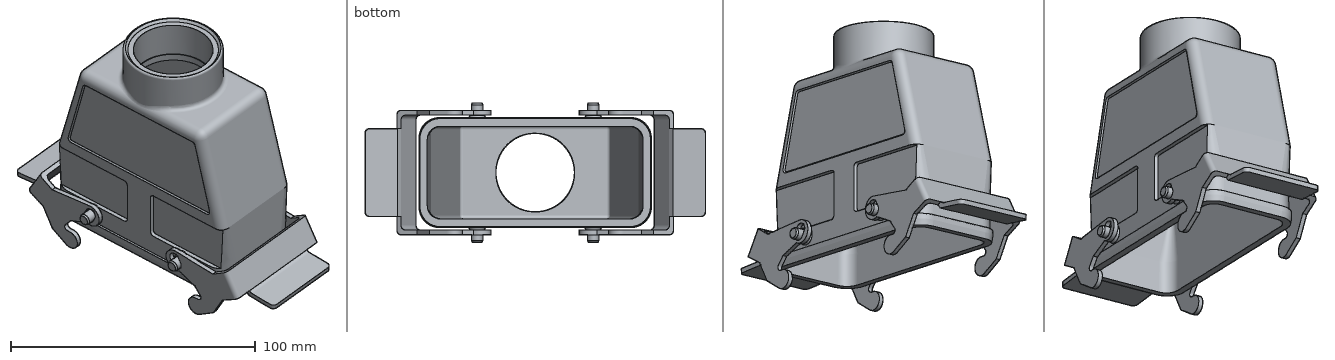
import cadquery as cq
import math

hood_width = 43.0
roof_z = 78.3
break_z = 34.4
roof_half_length = 33.0
break_half_length = 45.0
flare_half_length = 46.4
base_half_length = 46.7
edge_radius = 4.0
base_corner_radius = 8.0
wall = 2.6

rim_length = 95.0
rim_width = 45.0
rim_corner_radius = 8.5
rim_top_z = 4.8
rim_taper_height = 2.5
rim_taper = 0.45

neck_top_z = 94.5
neck_radius = 41.0 / 2
neck_root_fillet = 2.0
lip_size = 1.0
sleeve_seat_z = 78.7
sleeve_radius = 37.0 / 2
sleeve_bore_radius = 32.5 / 2
roof_hole_radius = 32.0 / 2

upper_panel_depth = 0.6
upper_panel_top_z = 73.1
upper_panel_bottom_z = 39.6
upper_panel_top_half = 29.9
upper_panel_bottom_half = 38.6
lower_panel_depth = 1.4
lower_panel_bottom_z = 13.5
lower_panel_inner_x = 6.25
upper_panel_draft = 45.0
lower_panel_draft = 18.0
panel_corner_radius = 1.7

pin_x = 23.7
pin_z = 9.9
pin_radius = 4.8 / 2
pin_tip_radius = 4.0 / 2
pin_tip_length = 0.8
pin_end_y = 57.0 / 2
boss_radius = 7.6 / 2
boss_end_radius = 6.0 / 2
boss_end_y = 23.4

sheet = 2.0
lever_half_width = 25.45
bend_radius = 2.0
inner_bend_radius = 2.0
bar_angle = 60.0
bar_length = 12.3
bar_top = (-50.4, 18.2)
eye_center = (-22.9, 11.0)
eye_radius = 4.9
slot_radius = 2.5
slot_end = (-22.6, 11.9)
eye_entry_angle = 100.0
eye_exit_angle = 243.0
hook_center = (-33.75, -6.99)
hook_radius = 4.0
hook_back_angle = 32.0
notch_corner = (-38.2, -2.99)
notch_radius = 1.5
arm_top_bend = (-43.3, 14.0)
arm_bottom_bend = (-33.5, 2.9)
arm_heel = (-43.2, -5.95)
arm_back_bend = (-48.2, 3.0)
grip_width = 36.0
grip_tip_x = -69.5
grip_tip_z = 4.9
grip_angle = 4.5
grip_length = 13.3
grip_flat_length = 11.4
grip_corner_radius = 2.0
right_lever_tilt = 0.8


def rounded_block(sections):
    """Loft through (z, length, width, corner radius) rounded rectangles."""
    wires = []
    for z, length, width, radius in sections:
        outline = cq.Sketch().rect(length, width).vertices().fillet(radius)
        wires.append(outline.moved(cq.Location(cq.Vector(0, 0, z))))
    return cq.Workplane("XY").placeSketch(*wires).loft(ruled=True)


def slab(points, y_from, y_to):
    """Extrude a closed X-Z outline between two Y positions."""
    return cq.Workplane("XZ", origin=(0, y_from, 0)).polyline(points).close().extrude(y_from - y_to)


def upper_body(inset):
    """Sloped upper part, shrunk by inset on every outer face."""
    base = break_half_length - inset
    top = roof_half_length - inset
    half_width = hood_width / 2 - inset
    outline = [(-base, break_z), (base, break_z), (top, roof_z - inset), (-top, roof_z - inset)]
    block = slab(outline, -half_width, half_width)
    radius = edge_radius - inset
    return block.faces("not <Z").edges("not <Z").fillet(radius)


def lower_body(inset):
    """Flared lower part; its corners open out from the break down to the panel bottom."""
    width = hood_width - 2 * inset
    return rounded_block([
        (0, 2 * (base_half_length - inset), width, base_corner_radius - inset),
        (lower_panel_bottom_z, 2 * (flare_half_length - inset), width, base_corner_radius - inset),
        (break_z, 2 * (break_half_length - inset), width, edge_radius - inset),
    ])


def rim():
    taper = 2 * rim_taper
    lower = rounded_block([
        (0, rim_length - taper, rim_width - taper, rim_corner_radius - rim_taper),
        (rim_taper_height, rim_length, rim_width, rim_corner_radius),
    ])
    upper = rounded_block([
        (rim_taper_height, rim_length, rim_width, rim_corner_radius),
        (rim_top_z, rim_length, rim_width, rim_corner_radius),
    ])
    return lower.union(upper)


def on_neck_root(edge):
    """True for the edges where the neck meets the roof."""
    ends_on_neck = all(abs(math.hypot(v.X, v.Y) - neck_radius) < 1e-3 for v in edge.Vertices())
    return ends_on_neck and edge.BoundingBox().zmax < roof_z + lip_size and edge.Center().z > break_z


def neck_and_roof():
    neck_base_z = roof_z - edge_radius
    neck = cq.Workplane("XY", origin=(0, 0, neck_base_z)).circle(neck_radius).extrude(neck_top_z - neck_base_z)
    neck = neck.faces(">Z").edges().fillet(lip_size)
    body = upper_body(0).union(neck)
    return body.edges().filter(on_neck_root).fillet(neck_root_fillet)


def neck_bore():
    """Chamfered bore for the sleeve, with a narrower hole through the roof below it."""
    lip_z = neck_top_z - lip_size
    profile = [
        (0, roof_z - 2 * wall),
        (roof_hole_radius, roof_z - 2 * wall),
        (roof_hole_radius, sleeve_seat_z),
        (sleeve_radius, sleeve_seat_z),
        (sleeve_radius, lip_z),
        (sleeve_radius + lip_size, neck_top_z),
        (0, neck_top_z),
    ]
    return cq.Workplane("XZ").polyline(profile).close().revolve(360, (0, 0, 0), (0, 1, 0))


def panel_cutter(points, depth, draft, side):
    """Recess with rounded corners and drafted walls, sunk into the front or back face."""
    outline = cq.Sketch().polygon(points + points[:1]).vertices().fillet(panel_corner_radius)
    front = cq.Workplane("XZ", origin=(0, -hood_width / 2, 0)).placeSketch(outline).extrude(-depth, taper=draft)
    return front if side < 0 else front.mirror("XZ")


def upper_panel(side):
    outline = [
        (-upper_panel_bottom_half, upper_panel_bottom_z),
        (upper_panel_bottom_half, upper_panel_bottom_z),
        (upper_panel_top_half, upper_panel_top_z),
        (-upper_panel_top_half, upper_panel_top_z),
    ]
    return panel_cutter(outline, upper_panel_depth, upper_panel_draft, side)


def lower_panel(end, side):
    """Recess that runs from near the middle out through the end wall."""
    inner_x = end * lower_panel_inner_x
    outer_x = end * rim_length
    outline = [
        (inner_x, lower_panel_bottom_z),
        (outer_x, lower_panel_bottom_z),
        (outer_x, break_z),
        (inner_x, break_z),
    ]
    return panel_cutter(outline, lower_panel_depth, lower_panel_draft, side)


def pivot_pin(end, side):
    root_y = hood_width / 2 - wall / 2
    profile = [
        (0, root_y),
        (boss_radius, root_y),
        (boss_radius, hood_width / 2),
        (boss_end_radius, boss_end_y),
        (pin_radius, boss_end_y),
        (pin_radius, pin_end_y - pin_tip_length),
        (pin_tip_radius, pin_end_y),
        (0, pin_end_y),
    ]
    pin = cq.Workplane("XY").polyline(profile).close().revolve(360, (0, 0, 0), (0, 1, 0))
    if side < 0:
        pin = pin.mirror("XZ")
    return pin.translate((end * pin_x, 0, pin_z))


def make_hood():
    hood = neck_and_roof().union(lower_body(0)).union(rim())
    hood = hood.cut(upper_body(wall)).cut(lower_body(wall)).cut(neck_bore())
    for side in (-1, 1):
        hood = hood.cut(upper_panel(side))
        for end in (-1, 1):
            hood = hood.cut(lower_panel(end, side))
            hood = hood.union(pivot_pin(end, side))
    return hood


def make_sleeve():
    height = neck_top_z - lip_size - sleeve_seat_z
    seat = cq.Workplane("XY", origin=(0, 0, sleeve_seat_z))
    return seat.circle(sleeve_radius).circle(sleeve_bore_radius).extrude(height)


def along_bar(distance, depth=0.0):
    """Point on the bar: distance down from its top corner, depth inward from its outer face."""
    angle = math.radians(bar_angle)
    x = bar_top[0] - distance * math.cos(angle) + depth * math.sin(angle)
    z = bar_top[1] - distance * math.sin(angle) - depth * math.cos(angle)
    return (x, z)


def on_eye(degrees):
    """Point on the rounded pivot end of the arm."""
    angle = math.radians(degrees)
    return (eye_center[0] + eye_radius * math.cos(angle), eye_center[1] + eye_radius * math.sin(angle))


def lever_plate():
    """Side outline of the lever with its hook, solid from front to back."""
    hook_x, hook_z = hook_center
    hook_angle = math.radians(hook_back_angle)
    hook_back = (hook_x - hook_radius * math.sin(hook_angle), hook_z - hook_radius * math.cos(hook_angle))
    eye_entry = on_eye(eye_entry_angle)
    eye_exit = on_eye(eye_exit_angle)
    outline = (
        cq.Workplane("XZ", origin=(0, lever_half_width, 0))
        .moveTo(*bar_top)
        .lineTo(*arm_top_bend)
        .lineTo(*eye_entry)
        .threePointArc(on_eye(0), eye_exit)
        .lineTo(*arm_bottom_bend)
        .lineTo(*notch_corner)
        .lineTo(hook_x, hook_z + hook_radius)
        .threePointArc((hook_x + hook_radius, hook_z), (hook_x, hook_z - hook_radius))
        .threePointArc(
            (hook_x - hook_radius * math.sin(hook_angle / 2), hook_z - hook_radius * math.cos(hook_angle / 2)),
            hook_back,
        )
        .lineTo(*arm_heel)
        .lineTo(*arm_back_bend)
        .lineTo(*along_bar(bar_length, sheet))
        .lineTo(*along_bar(bar_length))
        .close()
    )
    plate = outline.extrude(2 * lever_half_width)
    at_notch = cq.selectors.NearestToPointSelector((notch_corner[0], 0, notch_corner[1]))
    plate = plate.edges("|Y").edges(at_notch).fillet(notch_radius)
    angle = math.radians(bar_angle)
    bar_direction = cq.Vector(math.cos(angle), 0, math.sin(angle))
    return plate.edges(cq.selectors.ParallelDirSelector(bar_direction)).fillet(bend_radius)


def space_between_arms():
    """Block that leaves the bar and the two arms one sheet thick."""
    reach = 60.0
    width = 2 * (lever_half_width - sheet)
    block = cq.Workplane("XY").box(reach, width, reach)
    block = block.edges("|Z and <X").fillet(inner_bend_radius)
    block = block.translate((reach / 2 + sheet, 0, 0))
    block = block.rotate((0, 0, 0), (0, 1, 0), 90 - bar_angle)
    return block.translate((bar_top[0], 0, bar_top[1]))


def pivot_slot():
    dx = slot_end[0] + pin_x
    dz = slot_end[1] - pin_z
    travel = math.hypot(dx, dz)
    slot = cq.Workplane("XZ").slot2D(travel + 2 * slot_radius, 2 * slot_radius)
    slot = slot.extrude(lever_half_width + sheet, both=True)
    slot = slot.rotate((0, 0, 0), (0, 1, 0), -math.degrees(math.atan2(dz, dx)))
    return slot.translate((dx / 2 - pin_x, 0, dz / 2 + pin_z))


def grip():
    """Flat handle plate carried on the lower end of the bar."""
    angle = math.radians(grip_angle)
    direction = (math.cos(angle), math.sin(angle))
    half_thick = (-sheet / 2 * direction[1], sheet / 2 * direction[0])
    tip_top = (grip_tip_x + half_thick[0], grip_tip_z + half_thick[1])
    tip_bottom = (grip_tip_x - half_thick[0], grip_tip_z - half_thick[1])
    outline = (
        cq.Workplane("XZ", origin=(0, grip_width / 2, 0))
        .moveTo(*tip_top)
        .line(grip_flat_length * direction[0], grip_flat_length * direction[1])
        .tangentArcPoint(along_bar(bar_length), relative=False)
        .lineTo(*along_bar(bar_length, sheet))
        .lineTo(tip_bottom[0] + grip_length * direction[0], tip_bottom[1] + grip_length * direction[1])
        .lineTo(*tip_bottom)
        .close()
    )
    plate = outline.extrude(grip_width)
    tip_corners = plate.faces("<X").edges("not |Y")
    return tip_corners.fillet(grip_corner_radius)


def make_lever():
    """Lever on the -X end of the hood."""
    return lever_plate().cut(space_between_arms()).cut(pivot_slot()).union(grip())


hood = make_hood()
sleeve = make_sleeve()
left_lever = make_lever()
right_lever = make_lever().mirror("YZ").rotate((pin_x, 0, pin_z), (pin_x, 1, pin_z), -right_lever_tilt)

result = cq.Compound.makeCompound([
    hood.val(),
    sleeve.val(),
    left_lever.val(),
    right_lever.val(),
])